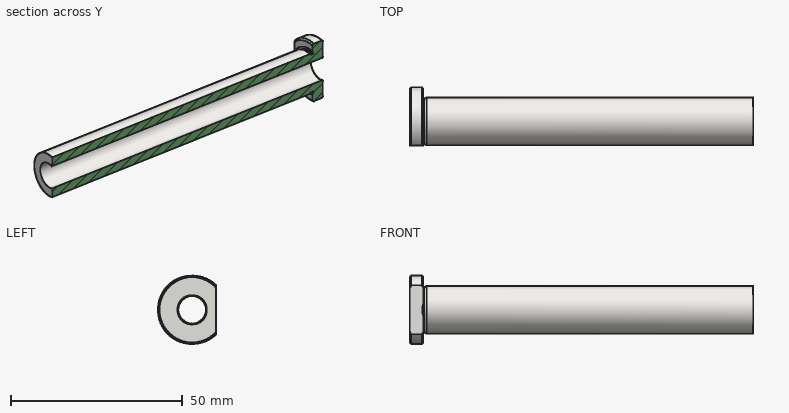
import cadquery as cq

total_length = 100.0
head_diameter = 20.0
head_thickness = 4.0
shaft_diameter = 14.0
bore_diameter = 8.0
flat_offset = shaft_diameter / 2

head_chamfer = 0.5
bore_chamfer = 0.3
end_face_rise = 0.05

neck_diameter = 13.3
neck_end = 4.3
undercut_end = 4.95
face_recess_depth = 0.4
face_recess_diameter = 15.0


def make_turned_body():
    """Revolve the head, undercut and shaft about the X axis."""
    head_radius = head_diameter / 2
    shaft_radius = shaft_diameter / 2
    neck_radius = neck_diameter / 2
    bore_radius = bore_diameter / 2
    return (
        cq.Workplane("XY")
        .moveTo(0, 0)
        .lineTo(0, head_radius - head_chamfer)
        .lineTo(head_chamfer, head_radius)
        .lineTo(head_thickness - head_chamfer, head_radius)
        .lineTo(head_thickness, head_radius - head_chamfer)
        .lineTo(head_thickness, face_recess_diameter / 2)
        .lineTo(head_thickness - face_recess_depth, neck_radius)
        .lineTo(neck_end, neck_radius)
        .lineTo(undercut_end, shaft_radius)
        .lineTo(total_length - end_face_rise, shaft_radius)
        .lineTo(total_length, bore_radius)
        .lineTo(total_length, 0)
        .close()
        .revolve(360, (0, 0, 0), (1, 0, 0))
    )


def make_bore():
    """Through bore along X, chamfered at the head end only."""
    bore_radius = bore_diameter / 2
    mouth_radius = bore_radius + bore_chamfer
    return (
        cq.Workplane("XY")
        .moveTo(0, 0)
        .lineTo(0, mouth_radius)
        .lineTo(bore_chamfer, bore_radius)
        .lineTo(total_length, bore_radius)
        .lineTo(total_length, 0)
        .close()
        .revolve(360, (0, 0, 0), (1, 0, 0))
    )


def make_flat_cutter():
    """Block that cuts the flat on the -Y side of the head."""
    return cq.Workplane("XY").box(
        head_thickness, head_diameter, head_diameter, centered=(False, False, True)
    ).translate((0, -flat_offset - head_diameter, 0))


result = make_turned_body().cut(make_flat_cutter()).cut(make_bore())